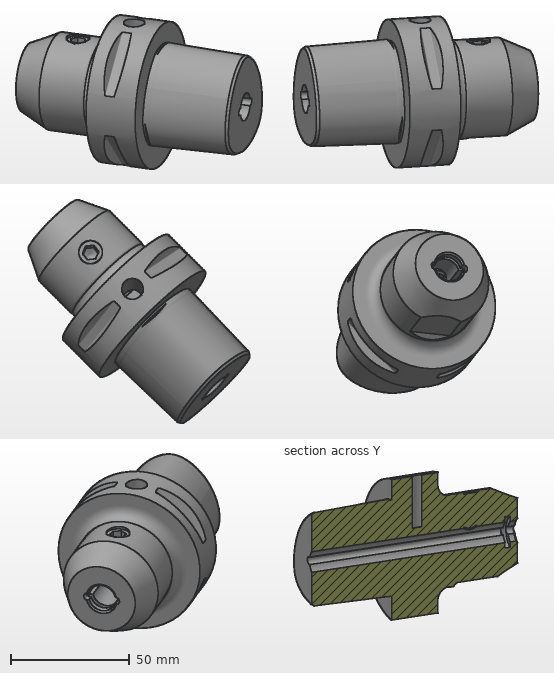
import cadquery as cq
import math

TOTAL_LENGTH = 98.0

NOSE_FACE_RADIUS = 15.0
BODY_DIAMETER = 42.0
BODY_RADIUS = BODY_DIAMETER / 2
CONE_END_X = 12.7
BODY_END_X = 31.9
NECK_STEP_LENGTH = 0.9
NECK_RADIUS = 20.8
NECK_FILLET_RADIUS = 5.0
BODY_FLAT_DEPTH = 2.0
BODY_FLAT_END_X = 29.0

FLANGE_DIAMETER = 63.0
FLANGE_RADIUS = FLANGE_DIAMETER / 2
FLANGE_START_X = BODY_END_X + NECK_STEP_LENGTH + NECK_FILLET_RADIUS
FLANGE_END_X = 60.0
GRIP_CENTER_X = 47.9

GROOVE_FLOOR_DISTANCE = 27.7
GROOVE_FLOOR_WIDTH = 4.0
GROOVE_MOUTH_WIDTH = 7.9
GROOVE_CORNER_RADIUS = 0.4
GROOVE_ANGLES = (45, 135, 225, 315)

FLANGE_HOLE_DIAMETER = 9.0
CORE_RADIUS = 9.2
CORE_SHOULDER_X = 45.0
CORE_TIP_X = GRIP_CENTER_X - FLANGE_HOLE_DIAMETER / 2
CORE_TIP_RADIUS = 6.5

LOBE_MEAN_RADIUS = 22.05
LOBE_HEIGHT = 1.4
LOBE_COUNT = 3
FIRST_FLAT_ANGLE = math.pi / 2 - math.pi / LOBE_COUNT
POINTS_PER_LOBE = 13
COLLAR_OFFSET = 0.1
COLLAR_END_X = 62.1
TAPER_START_X = 63.0
TAPER_PER_LENGTH = 1 / 40
CHAMFER_START_X = 96.7
CHAMFER_DEPTH = 0.7
RELIEF_RADIUS = 22.6
RELIEF_END_X = 61.0

BORE_DIAMETER = 12.0
BORE_MOUTH_CHAMFER = 0.8
CHANNEL_WIDTH = 3.2
CHANNEL_SPAN = 15.8
RING_START_X = 3.6
RING_END_X = 6.0

SCREW_X = 22.5
SCREW_DIAMETER = 10.0
SCREW_TIP_DIAMETER = 8.1
SCREW_TIP_Z = 4.2
SCREW_TOP_Z = 19.9
SOCKET_CORNER_DIAMETER = 6.9
SOCKET_TURN = -7.0
SOCKET_DEPTH = 4.9
SOCKET_CONE_DEPTH = 2.0


def make_turned_body():
    """Nose cone, body, neck fillet and flange as one revolved profile."""
    neck_x = BODY_END_X + NECK_STEP_LENGTH
    fillet_center = (neck_x, NECK_RADIUS + NECK_FILLET_RADIUS)
    fillet_diagonal = NECK_FILLET_RADIUS * math.sqrt(0.5)
    fillet_middle = (fillet_center[0] + fillet_diagonal, fillet_center[1] - fillet_diagonal)
    return (
        cq.Workplane("XY")
        .lineTo(0, NOSE_FACE_RADIUS)
        .lineTo(CONE_END_X, BODY_RADIUS)
        .lineTo(BODY_END_X, BODY_RADIUS)
        .lineTo(neck_x, NECK_RADIUS)
        .threePointArc(fillet_middle, (FLANGE_START_X, fillet_center[1]))
        .lineTo(FLANGE_START_X, FLANGE_RADIUS)
        .lineTo(FLANGE_END_X, FLANGE_RADIUS)
        .lineTo(FLANGE_END_X, 0)
        .close()
        .revolve(360, (0, 0), (1, 0))
    )


def lobe_point(x, offset, angle):
    """Point and tangent of the lobed outline where its outward normal has this angle from +Y."""
    phase = LOBE_COUNT * (angle - math.pi / 2)
    distance = LOBE_MEAN_RADIUS + offset + LOBE_HEIGHT * math.cos(phase)
    slope = -LOBE_COUNT * LOBE_HEIGHT * math.sin(phase)
    y = distance * math.cos(angle) - slope * math.sin(angle)
    z = distance * math.sin(angle) + slope * math.cos(angle)
    return cq.Vector(x, y, z), cq.Vector(0, -math.sin(angle), math.cos(angle))


def lobe_wire(x, offset):
    """Closed lobed outline at x, with one edge per lobe, joined in the middle of the flats."""
    edges = []
    sweep = 2 * math.pi / LOBE_COUNT
    for lobe in range(LOBE_COUNT):
        start = FIRST_FLAT_ANGLE + lobe * sweep
        samples = [
            lobe_point(x, offset, start + sweep * i / (POINTS_PER_LOBE - 1))
            for i in range(POINTS_PER_LOBE)
        ]
        points = [point for point, _ in samples]
        end_tangents = [samples[0][1], samples[-1][1]]
        edges.append(cq.Edge.makeSpline(points, tangents=end_tangents))
    return cq.Wire.assembleEdges(edges)


def make_shank():
    """Lobed shank: straight collar, taper and end chamfer, relieved next to the flange."""
    taper_drop = TAPER_PER_LENGTH * (CHAMFER_START_X - TAPER_START_X)
    sections = [
        (FLANGE_END_X, COLLAR_OFFSET),
        (COLLAR_END_X, COLLAR_OFFSET),
        (TAPER_START_X, 0),
        (CHAMFER_START_X, -taper_drop),
        (TOTAL_LENGTH, -taper_drop - CHAMFER_DEPTH),
    ]
    wires = [lobe_wire(x, offset) for x, offset in sections]
    shank = cq.Workplane(cq.Solid.makeLoft(wires, True))

    open_radius = LOBE_MEAN_RADIUS + 2 * LOBE_HEIGHT
    relief_envelope = (
        cq.Workplane("XY")
        .moveTo(FLANGE_END_X, 0)
        .lineTo(FLANGE_END_X, RELIEF_RADIUS)
        .lineTo(RELIEF_END_X, RELIEF_RADIUS)
        .lineTo(RELIEF_END_X + open_radius - RELIEF_RADIUS, open_radius)
        .lineTo(TOTAL_LENGTH, open_radius)
        .lineTo(TOTAL_LENGTH, 0)
        .close()
        .revolve(360, (0, 0), (1, 0))
    )
    return shank.intersect(relief_envelope)


def make_body_flat():
    """Cutter for the flat under the body, running out at 45 degrees."""
    flat_z = -BODY_RADIUS + BODY_FLAT_DEPTH
    run_out = 2 * BODY_FLAT_DEPTH
    return (
        cq.Workplane("XZ")
        .moveTo(0, flat_z)
        .lineTo(BODY_FLAT_END_X, flat_z)
        .lineTo(BODY_FLAT_END_X + run_out, flat_z - run_out)
        .lineTo(0, flat_z - run_out)
        .close()
        .extrude(BODY_RADIUS, both=True)
    )


def make_gripper_grooves():
    """Cutters for the four tapered straight grooves across the flange."""
    groove = (
        cq.Workplane("XZ")
        .moveTo(GRIP_CENTER_X - GROOVE_FLOOR_WIDTH / 2, GROOVE_FLOOR_DISTANCE)
        .lineTo(GRIP_CENTER_X + GROOVE_FLOOR_WIDTH / 2, GROOVE_FLOOR_DISTANCE)
        .lineTo(GRIP_CENTER_X + GROOVE_MOUTH_WIDTH / 2, FLANGE_RADIUS)
        .lineTo(GRIP_CENTER_X - GROOVE_MOUTH_WIDTH / 2, FLANGE_RADIUS)
        .close()
        .extrude(FLANGE_RADIUS, both=True)
        .faces("<Z")
        .edges("|Y")
        .fillet(GROOVE_CORNER_RADIUS)
    )
    grooves = cq.Workplane("XY")
    for angle in GROOVE_ANGLES:
        grooves = grooves.add(groove.rotate((0, 0, 0), (1, 0, 0), angle))
    return grooves.combine()


def make_flange_hole():
    """Cutter for the radial hole in the top of the flange, leaving the round core below it."""
    drill = (
        cq.Workplane("XY", origin=(GRIP_CENTER_X, 0, CORE_TIP_RADIUS))
        .circle(FLANGE_HOLE_DIAMETER / 2)
        .extrude(FLANGE_RADIUS - CORE_TIP_RADIUS)
    )
    core = (
        cq.Workplane("XY")
        .moveTo(CORE_TIP_X, 0)
        .lineTo(CORE_TIP_X, CORE_TIP_RADIUS)
        .lineTo(CORE_SHOULDER_X, CORE_RADIUS)
        .lineTo(FLANGE_END_X, CORE_RADIUS)
        .lineTo(FLANGE_END_X, 0)
        .close()
        .revolve(360, (0, 0), (1, 0))
    )
    return drill.cut(core)


def make_bore():
    """Cutter for the through bore, its mouth chamfer, the coolant channels and the ring groove."""
    bore_radius = BORE_DIAMETER / 2
    bore = (
        cq.Workplane("XY")
        .lineTo(0, bore_radius + BORE_MOUTH_CHAMFER)
        .lineTo(BORE_MOUTH_CHAMFER, bore_radius)
        .lineTo(TOTAL_LENGTH, bore_radius)
        .lineTo(TOTAL_LENGTH, 0)
        .close()
        .revolve(360, (0, 0), (1, 0))
    )
    channels = cq.Workplane("YZ").slot2D(CHANNEL_SPAN, CHANNEL_WIDTH).extrude(TOTAL_LENGTH)
    ring = (
        cq.Workplane("YZ", origin=(RING_START_X, 0, 0))
        .circle(CHANNEL_SPAN / 2)
        .extrude(RING_END_X - RING_START_X)
    )
    return bore.union(channels).union(ring)


def make_screw_hole():
    """Cutter for the screw hole, from the bore axis out through the top of the body."""
    return cq.Workplane("XY", origin=(SCREW_X, 0, 0)).circle(SCREW_DIAMETER / 2).extrude(BODY_RADIUS)


def make_screw():
    """Clamping screw with a chamfered tip and a hexagon socket ending in a cone."""
    tip_chamfer = (SCREW_DIAMETER - SCREW_TIP_DIAMETER) / 2
    screw = (
        cq.Workplane("XY", origin=(SCREW_X, 0, SCREW_TIP_Z))
        .circle(SCREW_DIAMETER / 2)
        .extrude(SCREW_TOP_Z - SCREW_TIP_Z)
        .faces("<Z")
        .chamfer(tip_chamfer)
    )
    hexagon = (
        cq.Workplane("XY", origin=(SCREW_X, 0, SCREW_TOP_Z))
        .transformed(rotate=(0, 0, SOCKET_TURN))
        .polygon(6, SOCKET_CORNER_DIAMETER)
        .extrude(-SOCKET_DEPTH - SOCKET_CONE_DEPTH)
    )
    coned_drill = (
        cq.Workplane("XZ", origin=(SCREW_X, 0, SCREW_TOP_Z))
        .lineTo(SOCKET_CORNER_DIAMETER / 2, 0)
        .lineTo(SOCKET_CORNER_DIAMETER / 2, -SOCKET_DEPTH)
        .lineTo(0, -SOCKET_DEPTH - SOCKET_CONE_DEPTH)
        .close()
        .revolve(360, (0, 0), (0, 1))
    )
    return screw.cut(hexagon.intersect(coned_drill))


result = (
    make_turned_body()
    .union(make_shank())
    .cut(make_body_flat())
    .cut(make_gripper_grooves())
    .cut(make_flange_hole())
    .cut(make_bore())
    .cut(make_screw_hole())
    .union(make_screw())
)